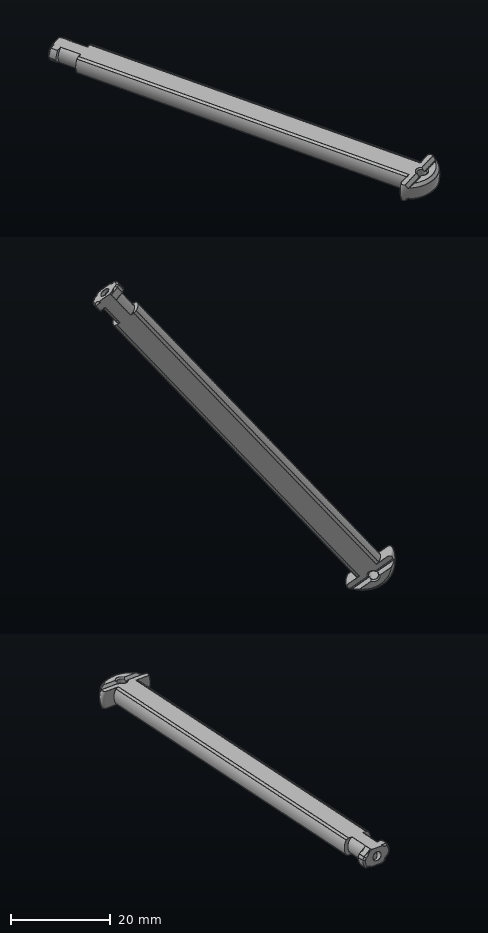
import cadquery as cq
import math

length = 88.1
thickness = 4.0
half_thickness = thickness / 2

shaft_radius = 3.305
shaft_flat_half_width = 2.2
shaft_bevel_half_width = 2.8

tab_length = 1.9
shoulder_x = 6.5
neck_radius = 2.42
tab_end_bevel = 0.35
tab_flat_half_width = 1.4
tab_edge_half_width = 3.0
tab_edge_z = 0.7

head_length = 4.9
head_width = 12.25
head_corner_x = 83.9
head_corner_fillet = 0.6
rim_crown = 0.35
rim_bevel_width = 0.8

hole_diameter = 2.0
hole_x = 84.95
countersink_diameter = 2.6
countersink_depth = 0.31
groove_half_width = 0.66
groove_depth = 0.75

socket_depth = 0.7

head_x = length - head_length
tip_rise = length - head_corner_x
rim_radius = ((head_width / 2) ** 2 + tip_rise ** 2) / (2 * tip_rise)
rim_centre_x = length - rim_radius


def x_cylinder(radius, start, end):
    return cq.Workplane("YZ").workplane(offset=start).circle(radius).extrude(end - start)


def x_prism(points, start, end):
    return cq.Workplane("YZ").workplane(offset=start).polyline(points).close().extrude(end - start)


def slab(start, end, width):
    """Full-thickness block along X, centred on the X axis."""
    return cq.Workplane("XY").box(end - start, width, thickness).translate(((start + end) / 2, 0, 0))


def make_shaft():
    """Round bar cut to two flats, with a narrow bevel along each flat's edges."""
    start = shoulder_x
    end = head_x + head_corner_fillet
    bevel_z = math.sqrt(shaft_radius ** 2 - shaft_bevel_half_width ** 2)
    quarter = [
        (shaft_flat_half_width, half_thickness),
        (shaft_bevel_half_width, bevel_z),
        (shaft_radius, bevel_z),
    ]
    right_side = quarter + [(y, -z) for y, z in reversed(quarter)]
    left_side = [(-y, -z) for y, z in right_side]
    return x_cylinder(shaft_radius, start, end).intersect(x_prism(right_side + left_side, start, end))


def make_neck():
    return x_cylinder(neck_radius, 0, shoulder_x).intersect(slab(0, shoulder_x, 2 * shaft_radius))


def make_tab():
    """Lock tab with two opposite corners cut away by sloping planes."""
    tab = x_cylinder(shaft_radius, 0, tab_length).intersect(slab(0, tab_length, 2 * shaft_radius))
    corner = [
        (tab_flat_half_width, half_thickness),
        (tab_edge_half_width, tab_edge_z),
        (shaft_radius, 0),
        (shaft_radius, half_thickness),
    ]
    opposite_corner = [(-y, -z) for y, z in corner]
    for outline in (corner, opposite_corner):
        tab = tab.cut(x_prism(outline, 0, tab_length))
    return tab.faces("<X").chamfer(tab_end_bevel)


def make_head():
    """Slice of a crowned disc; the rim is bevelled only beyond the cord groove."""
    crown_edge_radius = rim_radius - rim_crown
    disc = (
        cq.Workplane("XZ")
        .moveTo(0, -half_thickness)
        .lineTo(crown_edge_radius, -half_thickness)
        .threePointArc((rim_radius, 0), (crown_edge_radius, half_thickness))
        .lineTo(0, half_thickness)
        .close()
        .revolve(360, (0, 0, 0), (0, 1, 0))
        .translate((rim_centre_x, 0, 0))
    )
    head = disc.intersect(slab(head_x, length, 2 * rim_radius))
    head = head.faces("<X").edges("<Y or >Y").fillet(head_corner_fillet)

    cone_edge_radius = rim_radius - rim_bevel_width
    double_cone = (
        cq.Workplane("XZ")
        .polyline([
            (0, -half_thickness),
            (cone_edge_radius, -half_thickness),
            (cone_edge_radius + half_thickness, 0),
            (cone_edge_radius, half_thickness),
            (0, half_thickness),
        ])
        .close()
        .revolve(360, (0, 0, 0), (0, 1, 0))
        .translate((rim_centre_x, 0, 0))
    )
    inner_part = head.intersect(slab(head_x, hole_x, head_width))
    outer_part = head.intersect(slab(hole_x, length, head_width)).intersect(double_cone)
    return inner_part.union(outer_part)


def cut_cord_grooves(body):
    """V grooves across the head, on the top and bottom faces."""
    groove = (
        cq.Workplane("XZ")
        .polyline([
            (hole_x - groove_half_width, half_thickness),
            (hole_x, half_thickness - groove_depth),
            (hole_x + groove_half_width, half_thickness),
        ])
        .close()
        .extrude(rim_radius, both=True)
    )
    return body.cut(groove).cut(groove.mirror("XY"))


def cut_cross_hole(body):
    """Hole through the head, countersunk on both faces."""
    hole_radius = hole_diameter / 2
    cross_hole_profile = [
        (0, -half_thickness),
        (countersink_diameter / 2, -half_thickness),
        (hole_radius, countersink_depth - half_thickness),
        (hole_radius, half_thickness - countersink_depth),
        (countersink_diameter / 2, half_thickness),
        (0, half_thickness),
    ]
    cross_hole = (
        cq.Workplane("XZ")
        .polyline(cross_hole_profile)
        .close()
        .revolve(360, (0, 0, 0), (0, 1, 0))
        .translate((hole_x, 0, 0))
    )
    return body.cut(cross_hole)


def cut_end_socket(body):
    """Round socket in the end face whose floor is a half cylinder standing along Z."""
    socket_radius = hole_diameter / 2
    floor_centre_x = socket_depth + socket_radius
    socket = x_cylinder(socket_radius, 0, floor_centre_x)
    floor = (
        cq.Workplane("XY")
        .center(floor_centre_x, 0)
        .circle(socket_radius)
        .extrude(half_thickness, both=True)
    )
    return body.cut(socket.cut(floor))


pin = make_shaft().union(make_neck()).union(make_tab()).union(make_head())
result = cut_end_socket(cut_cross_hole(cut_cord_grooves(pin)))